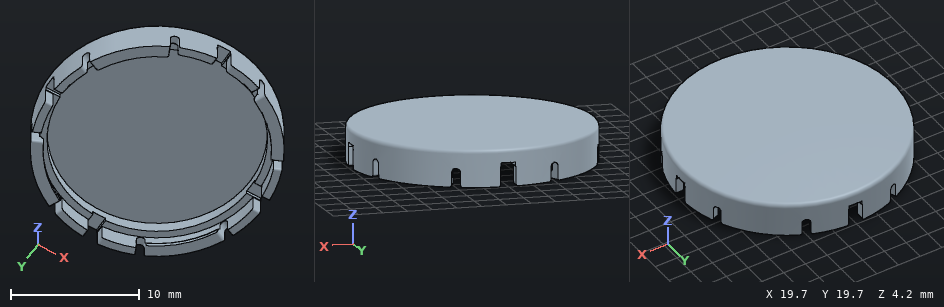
import cadquery as cq
import math

outer_radius = 9.85
height = 4.2
rim_round = 0.4
rim_start = 2.68

roof_underside = 2.68
seat_radius = 17.1 / 2
ledge_height = 1.58
skirt_radius = 9.16
lip_radius = 8.86
lip_height = 0.35
lip_ramp_top = 0.77

corner_round = 0.2
round_inset = corner_round * (1 - math.sqrt(0.5))
notch_width = 1.25
notch_top_width = 1.15
notch_top = 1.91
quarter_turn = 90
notch_angles = [i * quarter_turn for i in range(4)]
slot_width = 0.69
slot_top = 1.5
slot_offset = 23.9
cut_start = 7.88
cut_length = 2.36


def make_cap():
    """Revolve the domed shell with its seat and plain skirt."""
    rim_center = outer_radius - rim_round
    rise = height - rim_start
    dome_radius = (rim_center**2 + rise**2 - rim_round**2) / (2 * (rise - rim_round))
    dome_center = height - dome_radius
    edge_angle = math.asin(rim_center / (dome_radius - rim_round))

    def dome_point(angle):
        return dome_radius * math.sin(angle), dome_center + dome_radius * math.cos(angle)

    rim_angle = (edge_angle + math.pi / 2) / 2
    rim_middle = (
        rim_center + rim_round * math.sin(rim_angle),
        rim_start + rim_round * math.cos(rim_angle),
    )
    profile = (
        cq.Workplane("XZ")
        .moveTo(skirt_radius, 0)
        .lineTo(outer_radius, 0)
        .lineTo(outer_radius, rim_start)
        .threePointArc(rim_middle, dome_point(edge_angle))
        .threePointArc(dome_point(edge_angle / 2), (0, height))
        .lineTo(0, roof_underside)
        .lineTo(seat_radius, roof_underside)
        .lineTo(seat_radius, ledge_height)
        .lineTo(skirt_radius, ledge_height)
        .close()
    )
    return profile.revolve(360, (0, 0, 0), (0, 1, 0))


def make_lip():
    """Snap lip for one wide wall segment, reaching the middle of the slots at both ends."""
    lip_sweep = quarter_turn - 2 * slot_offset
    overlap_radius = (skirt_radius + outer_radius) / 2
    profile = (
        cq.Workplane("XZ")
        .moveTo(lip_radius, 0)
        .lineTo(overlap_radius, 0)
        .lineTo(overlap_radius, lip_ramp_top)
        .lineTo(skirt_radius, lip_ramp_top)
        .lineTo(lip_radius, lip_height)
        .close()
    )
    lip = profile.revolve(lip_sweep, (0, 0, 0), (0, 1, 0))
    return turned(lip, slot_offset)


def start_cut(width):
    """Start a cut outline at the open edge, up to its right wall, with a rounded flare."""
    half = width / 2
    return (
        cq.Workplane("YZ", origin=(cut_start, 0, 0))
        .moveTo(half + corner_round, 0)
        .threePointArc((half + round_inset, round_inset), (half, corner_round))
    )


def finish_cut(outline, width):
    """Close a cut outline down its left wall and extrude it outward."""
    half = width / 2
    return (
        outline.lineTo(-half, corner_round)
        .threePointArc((-half - round_inset, round_inset), (-half - corner_round, 0))
        .close()
        .extrude(cut_length)
    )


def make_notch():
    """Square notch, slightly narrower where it enters the thick wall."""
    half = notch_width / 2
    half_top = notch_top_width / 2
    outline = (
        start_cut(notch_width)
        .lineTo(half, ledge_height)
        .lineTo(half_top, ledge_height)
        .lineTo(half_top, notch_top)
        .lineTo(-half_top, notch_top)
        .lineTo(-half_top, ledge_height)
        .lineTo(-half, ledge_height)
    )
    return finish_cut(outline, notch_width)


def make_slot():
    """Narrow slot with a full round top."""
    half = slot_width / 2
    arc_start = slot_top - half
    outline = (
        start_cut(slot_width)
        .lineTo(half, arc_start)
        .threePointArc((0, slot_top), (-half, arc_start))
    )
    return finish_cut(outline, slot_width)


def turned(shape, angle):
    """Turn a shape about the axis of the cap."""
    return shape.rotate((0, 0, 0), (0, 0, 1), angle)


result = make_cap()
lip = make_lip()
notch = make_notch()
slot = make_slot()
for notch_angle in notch_angles:
    result = result.union(turned(lip, notch_angle))
for notch_angle in notch_angles:
    result = result.cut(turned(notch, notch_angle))
    for offset in (-slot_offset, slot_offset):
        result = result.cut(turned(slot, notch_angle + offset))